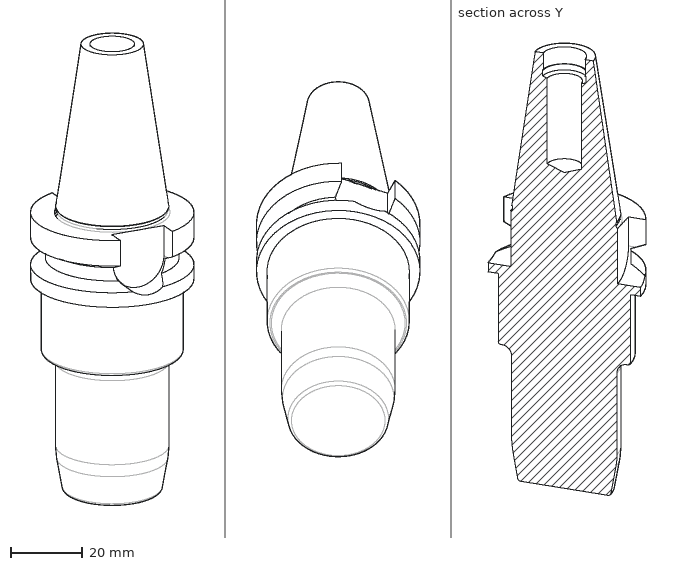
import cadquery as cq
import math


GAUGE_DIAMETER = 31.75
TAPER_LENGTH = 48.4
TAPER_RATIO = 7 / 24
NECK_DIAMETER = 31.3
TAPER_END = -0.3
TAPER_END_DIAMETER = GAUGE_DIAMETER - TAPER_END * TAPER_RATIO
NECK_CHAMFER = (TAPER_END_DIAMETER - NECK_DIAMETER) / 2
NECK_FILLET = 0.6

FLANGE_DIAMETER = 45.98
FLANGE_TOP = -2.0
FLANGE_BOTTOM = -22.0
GROOVE_DIAMETER = 37.6
GROOVE_CENTRE = -13.65
GROOVE_FLOOR_WIDTH = 4.0
GROOVE_MOUTH_WIDTH = 8.0

BODY_DIAMETER = 40.0
NOSE_DIAMETER = 32.0
BODY_EDGE_RADIUS = 0.8
NOSE_FILLET = 2.8
NOSE_FILLET_END = -46.6
NOSE_BOTTOM = -85.0
NOSE_STRAIGHT_END = -71.8
NOSE_BLEND_HEIGHT = 3.7
NOSE_CONE_ANGLE = 10.0
NOSE_EDGE_RADIUS = 1.0

SLOT_WIDTH = 16.3
SLOT_FLAT_TO_AXIS = 16.2
SLOT_BOTTOM = -19.1

PILOT_DIAMETER = 12.51
PILOT_DEPTH = 5.3
RELIEF_DIAMETER = 12.91
RELIEF_DEPTH = 7.2
CORE_DIAMETER = 10.25
CORE_DEPTH = 34.0
COUNTERSINK_ANGLE = 140.0
DRILL_POINT_ANGLE = 140.0


def make_body():
    """Revolve the outer half profile of the holder."""
    top_r = (GAUGE_DIAMETER - TAPER_LENGTH * TAPER_RATIO) / 2
    taper_end_r = TAPER_END_DIAMETER / 2
    neck_r = NECK_DIAMETER / 2
    flange_r = FLANGE_DIAMETER / 2
    groove_r = GROOVE_DIAMETER / 2
    body_r = BODY_DIAMETER / 2
    nose_r = NOSE_DIAMETER / 2
    half_floor = GROOVE_FLOOR_WIDTH / 2
    half_mouth = GROOVE_MOUTH_WIDTH / 2

    shoulder_z = NOSE_FILLET_END + NOSE_FILLET
    cone_angle = math.radians(NOSE_CONE_ANGLE)
    blend_radius = NOSE_BLEND_HEIGHT / math.sin(cone_angle)
    cone_top_r = nose_r - blend_radius * (1 - math.cos(cone_angle))
    cone_top_z = NOSE_STRAIGHT_END - NOSE_BLEND_HEIGHT

    round_centre_z = NOSE_BOTTOM + NOSE_EDGE_RADIUS
    round_top_z = round_centre_z + NOSE_EDGE_RADIUS * math.sin(-cone_angle)
    cone_bottom_r = cone_top_r - (cone_top_z - round_top_z) * math.tan(cone_angle)
    round_centre_r = cone_bottom_r - NOSE_EDGE_RADIUS * math.cos(cone_angle)

    profile = (
        cq.Workplane("XZ")
        .moveTo(0, TAPER_LENGTH)
        .lineTo(top_r, TAPER_LENGTH)
        .lineTo(taper_end_r, TAPER_END)
        .lineTo(neck_r, TAPER_END - NECK_CHAMFER)
        .lineTo(neck_r, FLANGE_TOP + NECK_FILLET)
        .radiusArc((neck_r + NECK_FILLET, FLANGE_TOP), -NECK_FILLET)
        .lineTo(flange_r, FLANGE_TOP)
        .lineTo(flange_r, GROOVE_CENTRE + half_mouth)
        .lineTo(groove_r, GROOVE_CENTRE + half_floor)
        .lineTo(groove_r, GROOVE_CENTRE - half_floor)
        .lineTo(flange_r, GROOVE_CENTRE - half_mouth)
        .lineTo(flange_r, FLANGE_BOTTOM)
        .lineTo(body_r, FLANGE_BOTTOM)
        .lineTo(body_r, shoulder_z + BODY_EDGE_RADIUS)
        .radiusArc((body_r - BODY_EDGE_RADIUS, shoulder_z), BODY_EDGE_RADIUS)
        .lineTo(nose_r + NOSE_FILLET, shoulder_z)
        .radiusArc((nose_r, NOSE_FILLET_END), -NOSE_FILLET)
        .lineTo(nose_r, NOSE_STRAIGHT_END)
        .radiusArc((cone_top_r, cone_top_z), blend_radius)
        .lineTo(cone_bottom_r, round_top_z)
        .radiusArc((round_centre_r, NOSE_BOTTOM), NOSE_EDGE_RADIUS)
        .lineTo(0, NOSE_BOTTOM)
        .close()
    )
    return profile.revolve(360, (0, 0), (0, 1))


def make_drive_slot(side):
    """Round-bottomed slot, open at the flange top; side is +1 or -1 along X."""
    slot_r = SLOT_WIDTH / 2
    arc_centre_z = SLOT_BOTTOM + slot_r
    cut_depth = FLANGE_DIAMETER / 2
    slot = (
        cq.Workplane("YZ", origin=(side * SLOT_FLAT_TO_AXIS, 0, 0))
        .moveTo(-slot_r, FLANGE_TOP)
        .lineTo(-slot_r, arc_centre_z)
        .threePointArc((0, SLOT_BOTTOM), (slot_r, arc_centre_z))
        .lineTo(slot_r, FLANGE_TOP)
        .close()
    )
    return slot.extrude(side * cut_depth)


def make_end_hole():
    """Pilot bore, relief, countersunk core bore and drill point, as a solid to remove."""
    pilot_r = PILOT_DIAMETER / 2
    core_r = CORE_DIAMETER / 2
    relief_r = RELIEF_DIAMETER / 2
    sink_height = (relief_r - core_r) / math.tan(math.radians(COUNTERSINK_ANGLE / 2))
    point_height = core_r / math.tan(math.radians(DRILL_POINT_ANGLE / 2))
    return (
        cq.Workplane("XZ")
        .moveTo(0, TAPER_LENGTH)
        .lineTo(pilot_r, TAPER_LENGTH)
        .lineTo(pilot_r, TAPER_LENGTH - PILOT_DEPTH)
        .lineTo(relief_r, TAPER_LENGTH - PILOT_DEPTH)
        .lineTo(relief_r, TAPER_LENGTH - RELIEF_DEPTH)
        .lineTo(core_r, TAPER_LENGTH - RELIEF_DEPTH - sink_height)
        .lineTo(core_r, TAPER_LENGTH - CORE_DEPTH)
        .lineTo(0, TAPER_LENGTH - CORE_DEPTH - point_height)
        .close()
        .revolve(360, (0, 0), (0, 1))
    )


result = make_body()
for slot_side in (-1, 1):
    result = result.cut(make_drive_slot(slot_side))
result = result.cut(make_end_hole())